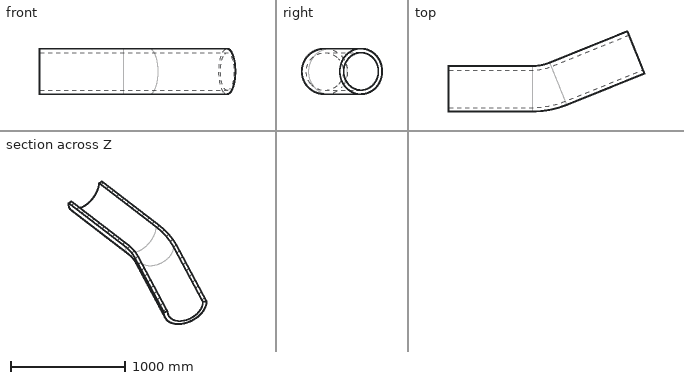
import cadquery as cq
import math

outer_diameter = 400.0
bore_diameter = 327.4
bend_angle = 22.0
bend_radius = 1.5 * outer_diameter
centre_to_end = 850.0

bend_tangent = bend_radius * math.tan(math.radians(bend_angle / 2))
leg_length = centre_to_end - bend_tangent


def section(x, diameter):
    """Round cross-section facing along +X, centred on the inlet axis."""
    return cq.Workplane("YZ", origin=(x, 0, 0)).circle(diameter / 2)


def bent_rod(diameter):
    """Solid round rod: straight leg along +X, bend in the XY plane, second straight leg."""
    inlet_leg = section(0, diameter).extrude(leg_length)

    bend = section(leg_length, diameter).revolve(bend_angle, (bend_radius, 0), (bend_radius, 1))

    axis_start = (leg_length, bend_radius, 0)
    axis_end = (leg_length, bend_radius, 1)
    outlet_leg = section(leg_length, diameter).extrude(leg_length).rotate(axis_start, axis_end, bend_angle)

    return inlet_leg.union(bend).union(outlet_leg)


result = bent_rod(outer_diameter).cut(bent_rod(bore_diameter))